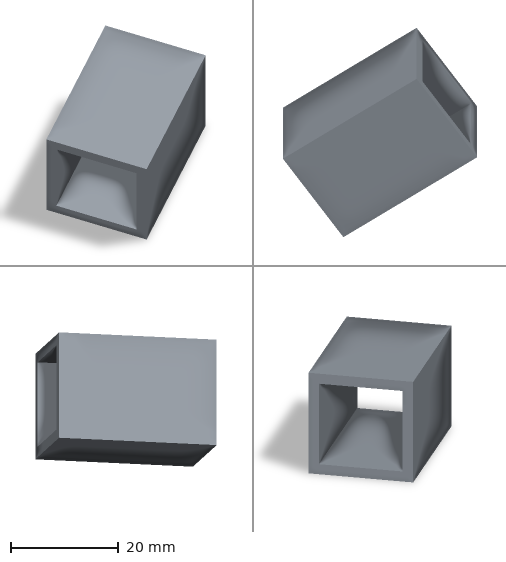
import cadquery as cq

length = 30.0
side = length * 2 / 3
wall = side / 10
bore_side = side - 2 * wall

outer = cq.Workplane("XY").box(side, length, side)
bore = cq.Workplane("XY").box(bore_side, length, bore_side)

result = outer.cut(bore)